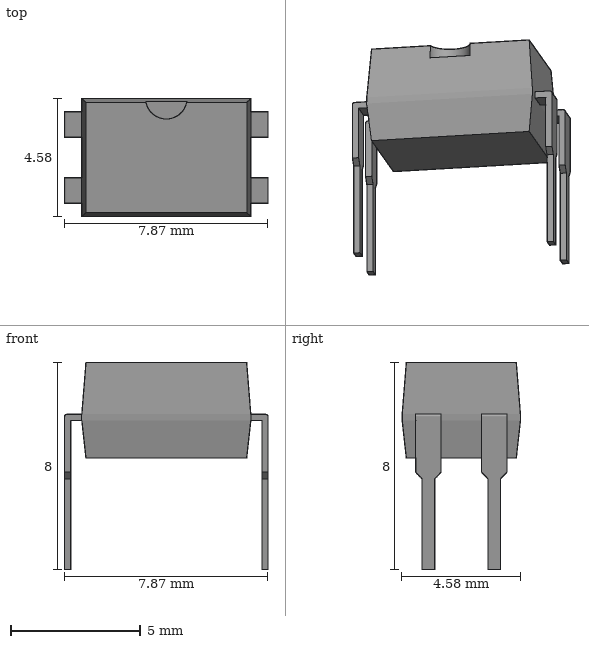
import cadquery as cq


TOTAL_HEIGHT = 8.0
LEAD_SPAN = 7.87

BODY_LENGTH = 6.54
BODY_WIDTH = 4.58
DRAFT_INSET = 0.16
UPPER_HEIGHT = 2.0
LOWER_HEIGHT = 1.45

NOTCH_RADIUS = 0.8
NOTCH_DEPTH = 0.5

LEAD_THICKNESS = 0.25
LEAD_PITCH = 2.54
LEAD_WIDE = 0.99
LEAD_NARROW = 0.5
SHOULDER_TOP_Z = 3.76
SHOULDER_BOTTOM_Z = 3.5
BEND_RADIUS = 0.1

BAND_TOP_Z = TOTAL_HEIGHT - UPPER_HEIGHT
BAND_BOTTOM_Z = BAND_TOP_Z - LEAD_THICKNESS


def tapered_block(base_z, height):
    """Block that shrinks from the band outline; a negative height points down."""
    return (
        cq.Workplane("XY", origin=(0, 0, base_z))
        .rect(BODY_LENGTH, BODY_WIDTH)
        .workplane(offset=height)
        .rect(BODY_LENGTH - 2 * DRAFT_INSET, BODY_WIDTH - 2 * DRAFT_INSET)
        .loft(ruled=True)
    )


def make_package():
    """Drafted package with a straight parting band and an index notch."""
    band = (
        cq.Workplane("XY", origin=(0, 0, BAND_BOTTOM_Z))
        .rect(BODY_LENGTH, BODY_WIDTH)
        .extrude(LEAD_THICKNESS)
    )
    upper = tapered_block(BAND_TOP_Z, UPPER_HEIGHT)
    lower = tapered_block(BAND_BOTTOM_Z, -LOWER_HEIGHT)
    notch = (
        cq.Workplane("XY", origin=(0, BODY_WIDTH / 2, TOTAL_HEIGHT))
        .circle(NOTCH_RADIUS)
        .extrude(-NOTCH_DEPTH)
    )
    return band.union(upper).union(lower).cut(notch)


def make_lead(side, y):
    """Bent lead centred at y, on the -X (side = -1) or +X (side = 1) end of the package."""
    outer_x = side * LEAD_SPAN / 2
    inner_x = outer_x - side * LEAD_THICKNESS
    body_x = side * BODY_LENGTH / 2

    bent_strip = (
        cq.Workplane("XZ", origin=(0, y, 0))
        .moveTo(body_x, BAND_TOP_Z)
        .lineTo(outer_x, BAND_TOP_Z)
        .lineTo(outer_x, 0)
        .lineTo(inner_x, 0)
        .lineTo(inner_x, BAND_BOTTOM_Z)
        .lineTo(body_x, BAND_BOTTOM_Z)
        .close()
        .extrude(LEAD_WIDE / 2, both=True)
    )
    outer_corner = cq.selectors.NearestToPointSelector((outer_x, y, BAND_TOP_Z))
    bent_strip = bent_strip.edges("|Y").edges(outer_corner).fillet(BEND_RADIUS)

    half_wide = LEAD_WIDE / 2
    half_narrow = LEAD_NARROW / 2
    outline = (
        cq.Workplane("YZ", origin=(0, y, 0))
        .polyline([
            (-half_narrow, 0),
            (half_narrow, 0),
            (half_narrow, SHOULDER_BOTTOM_Z),
            (half_wide, SHOULDER_TOP_Z),
            (half_wide, BAND_TOP_Z),
            (-half_wide, BAND_TOP_Z),
            (-half_wide, SHOULDER_TOP_Z),
            (-half_narrow, SHOULDER_BOTTOM_Z),
        ])
        .close()
        .extrude(LEAD_SPAN / 2, both=True)
    )
    return bent_strip.intersect(outline)


package = make_package()

leads = []
for side in (-1, 1):
    for y in (-LEAD_PITCH / 2, LEAD_PITCH / 2):
        leads.append(make_lead(side, y).solids().val())

result = cq.Compound.makeCompound([package.solids().val(), *leads])